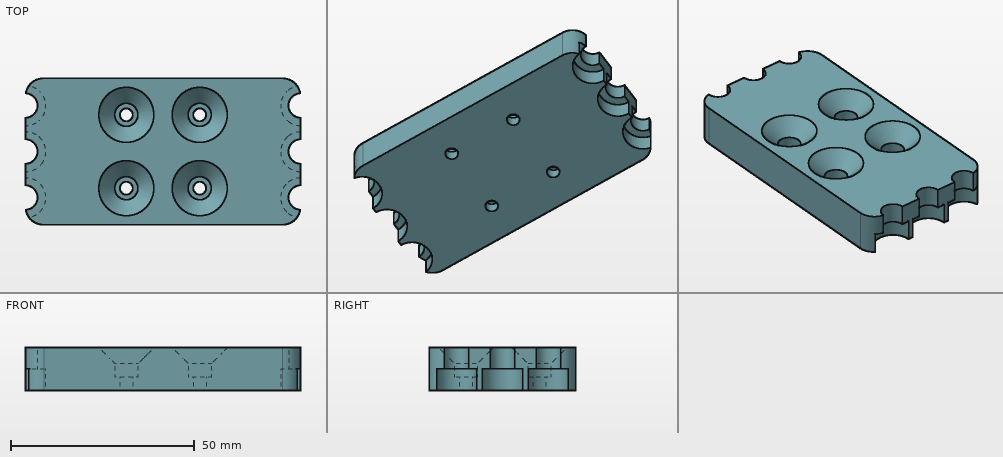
import cadquery as cq

length = 75.0
width = 40.0
height = 11.8
corner_radius = 5.0

notch_pitch = 12.5
notch_radius = 3.3
notch_base_radius = 5.5
notch_base_height = 5.9

well_pitch = width / 2
well_top_radius = 7.5
well_neck_radius = 3.15
well_floor_z = 3.75
screw_hole_radius = 1.7
cone_depth = well_top_radius - well_neck_radius


def make_plate():
    """Rectangular plate standing on Z = 0 with rounded vertical corners."""
    plate = cq.Workplane("XY").box(length, width, height, centered=(True, True, False))
    return plate.edges("|Z").fillet(corner_radius)


def make_notches():
    """Vertical cylinders centred on the end faces, wider in the lower part."""
    centers = [(side * length / 2, row * notch_pitch) for side in (-1, 1) for row in (-1, 0, 1)]
    plane = cq.Workplane("XY").pushPoints(centers)
    upper = plane.circle(notch_radius).extrude(height)
    lower = plane.circle(notch_base_radius).extrude(notch_base_height)
    return upper, lower


def make_well():
    """Revolved screw well: through hole, flat-floored neck and conical mouth."""
    profile = [
        (0, 0),
        (screw_hole_radius, 0),
        (screw_hole_radius, well_floor_z),
        (well_neck_radius, well_floor_z),
        (well_neck_radius, height - cone_depth),
        (well_top_radius, height),
        (0, height),
    ]
    return cq.Workplane("XZ").polyline(profile).close().revolve(360, (0, 0), (0, 1))


result = make_plate()

for notches in make_notches():
    result = result.cut(notches)

well = make_well()
for x_side in (-1, 1):
    for y_side in (-1, 1):
        result = result.cut(well.translate((x_side * well_pitch / 2, y_side * well_pitch / 2, 0)))